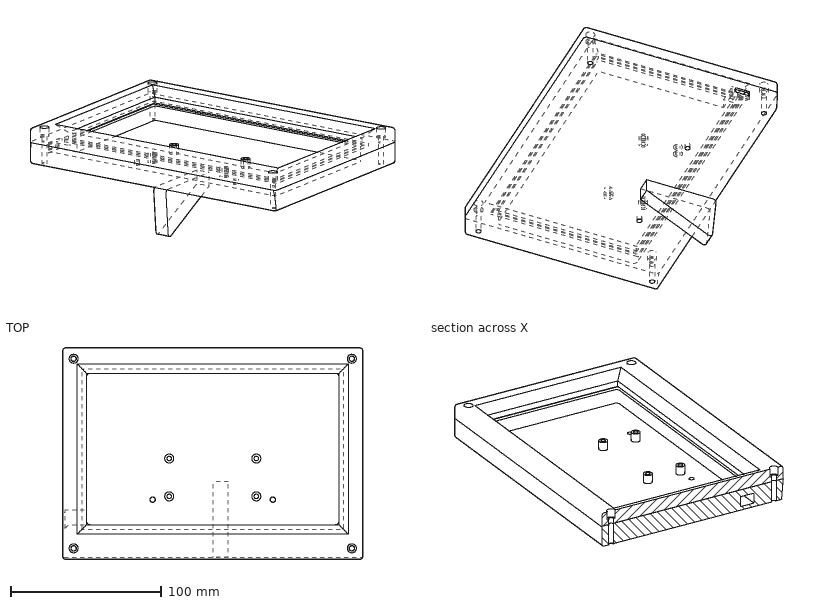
import cadquery as cq
import math

CASE_LENGTH = 200.2
CASE_WIDTH = 141.1
TRAY_HEIGHT = 15.0
BEZEL_HEIGHT = 10.0
CASE_HEIGHT = TRAY_HEIGHT + BEZEL_HEIGHT
EDGE_RADIUS = 2.5
FRONT_Y = -CASE_WIDTH / 2
LEFT_X = -CASE_LENGTH / 2

LEAN_ANGLE = 5.0
LEAN = math.tan(math.radians(LEAN_ANGLE))

WINDOW_LENGTH = 168.2
WINDOW_WIDTH = 101.0
WINDOW_Y = 3.0
WINDOW_FLARE = 6.2
WINDOW_LIP = 4.0

FLOOR_THICKNESS = 3.0
PANEL_SEAT_DEPTH = 2.0
PANEL_SEAT_MARGIN = 3.0

SCREW_INSET = 7.5
SCREW_HOLE_DIAMETER = 3.5
SCREW_HEAD_DIAMETER = 6.0
SCREW_HEAD_DEPTH = 6.0

POST_DIAMETER = 6.0
POST_HOLE_DIAMETER = 3.0
POST_HEIGHT = 6.0
POST_SPACING_X = 58.0
POST_SPACING_Y = 25.2
POST_CENTRE_Y = FRONT_Y + 54.7
FLOOR_HOLE_DIAMETER = 3.5
FLOOR_HOLE_SPACING = 80.0
FLOOR_HOLE_Y = FRONT_Y + 39.8

SLOT_LENGTH = 10.5
SLOT_HEIGHT = 3.8
SLOT_CORNER_RADIUS = 1.0
SLOT_WALL = 1.6
SLOT_FRONT_Y = FRONT_Y + 21.0
SLOT_BOTTOM_Z = FLOOR_THICKNESS + 1.6
POCKET_MARGIN = 1.6
POCKET_HEIGHT = SLOT_HEIGHT + 2 * POCKET_MARGIN
POCKET_FLARE_RADIUS = 4.8
POCKET_FLARE_WIDTH = 2.8

STAND_THICKNESS = 10.0
STAND_BACK_Y = FRONT_Y + 52.0
STAND_BACK_HEIGHT = 9.5
STAND_UNDERSIDE_SLOPE = 0.534


def front_y_at(z):
    """Y of the leaning front plane at height z."""
    return FRONT_Y + LEAN * (TRAY_HEIGHT - z)


def rounded_case():
    """Outer block of the closed case, every edge rounded."""
    block = cq.Workplane("XY").box(CASE_LENGTH, CASE_WIDTH, CASE_HEIGHT, centered=(True, True, False))
    return block.edges().fillet(EDGE_RADIUS)


def slab(bottom_z, height):
    """Oversized layer that picks out one height range of the case."""
    layer = cq.Workplane("XY").workplane(offset=bottom_z)
    return layer.rect(2 * CASE_LENGTH, 2 * CASE_WIDTH).extrude(height)


def screw_points():
    """Workplane at Z = 0 with a point at each corner screw."""
    return cq.Workplane("XY").rect(
        CASE_LENGTH - 2 * SCREW_INSET, CASE_WIDTH - 2 * SCREW_INSET, forConstruction=True
    ).vertices()


def screw_holes():
    return screw_points().circle(SCREW_HOLE_DIAMETER / 2).extrude(CASE_HEIGHT)


def make_bezel():
    """Upper frame with a window that has a straight lip below and a flare above."""
    bezel = rounded_case().intersect(slab(TRAY_HEIGHT, BEZEL_HEIGHT))
    lip = (
        cq.Workplane("XY", origin=(0, WINDOW_Y, TRAY_HEIGHT))
        .rect(WINDOW_LENGTH, WINDOW_WIDTH)
        .extrude(WINDOW_LIP)
    )
    flare = (
        cq.Workplane("XY", origin=(0, WINDOW_Y, TRAY_HEIGHT + WINDOW_LIP))
        .rect(WINDOW_LENGTH, WINDOW_WIDTH)
        .workplane(offset=BEZEL_HEIGHT - WINDOW_LIP)
        .rect(WINDOW_LENGTH + 2 * WINDOW_FLARE, WINDOW_WIDTH + 2 * WINDOW_FLARE)
        .loft(ruled=True)
    )
    heads = (
        screw_points()
        .circle(SCREW_HEAD_DIAMETER / 2)
        .extrude(SCREW_HEAD_DEPTH)
        .translate((0, 0, CASE_HEIGHT - SCREW_HEAD_DEPTH))
    )
    return bezel.cut(lip).cut(flare).cut(screw_holes()).cut(heads)


def lean_front(tray):
    """Cut the tray's front wall along the leaning plane."""
    wedge = (
        cq.Workplane("YZ", origin=(-CASE_LENGTH, 0, 0))
        .moveTo(FRONT_Y, TRAY_HEIGHT)
        .lineTo(front_y_at(0), 0)
        .lineTo(FRONT_Y, 0)
        .close()
        .extrude(2 * CASE_LENGTH)
    )
    return tray.cut(wedge)


def cavity():
    """Deep pocket with rounded corners and, at its rim, a shallow wider seat for the panel."""
    pocket = (
        cq.Workplane("XY", origin=(0, WINDOW_Y, FLOOR_THICKNESS))
        .rect(WINDOW_LENGTH, WINDOW_WIDTH)
        .extrude(TRAY_HEIGHT - FLOOR_THICKNESS)
        .edges("|Z")
        .fillet(EDGE_RADIUS)
    )
    seat = (
        cq.Workplane("XY", origin=(0, WINDOW_Y, TRAY_HEIGHT - PANEL_SEAT_DEPTH))
        .rect(WINDOW_LENGTH + 2 * PANEL_SEAT_MARGIN, WINDOW_WIDTH + 2 * PANEL_SEAT_MARGIN)
        .extrude(PANEL_SEAT_DEPTH)
    )
    return pocket.union(seat)


def cable_slot():
    """Rounded opening through the thin wall left outside the plug pocket."""
    return (
        cq.Workplane("XY", origin=(LEFT_X, SLOT_FRONT_Y, SLOT_BOTTOM_Z))
        .box(2 * SLOT_WALL, SLOT_LENGTH, SLOT_HEIGHT, centered=(True, False, False))
        .edges("|X")
        .fillet(SLOT_CORNER_RADIUS)
    )


def plug_pocket():
    """Pocket behind the slot, level with the cavity floor, its front side flaring toward the slot."""
    outer_x = LEFT_X + SLOT_WALL
    inner_x = -WINDOW_LENGTH / 2 + EDGE_RADIUS
    back_y = SLOT_FRONT_Y + SLOT_LENGTH + POCKET_MARGIN
    front_y = WINDOW_Y - WINDOW_WIDTH / 2
    flare_depth = math.sqrt(POCKET_FLARE_RADIUS**2 - (POCKET_FLARE_RADIUS - POCKET_FLARE_WIDTH) ** 2)
    return (
        cq.Workplane("XY", origin=(0, 0, FLOOR_THICKNESS))
        .moveTo(outer_x, back_y)
        .lineTo(inner_x, back_y)
        .lineTo(inner_x, front_y)
        .lineTo(outer_x + flare_depth, front_y)
        .radiusArc((outer_x, front_y - POCKET_FLARE_WIDTH), -POCKET_FLARE_RADIUS)
        .close()
        .extrude(POCKET_HEIGHT)
    )


def posts():
    """Four hollow board posts standing on the floor."""
    return (
        cq.Workplane("XY", origin=(0, POST_CENTRE_Y, FLOOR_THICKNESS))
        .rect(POST_SPACING_X, POST_SPACING_Y, forConstruction=True)
        .vertices()
        .circle(POST_DIAMETER / 2)
        .circle(POST_HOLE_DIAMETER / 2)
        .extrude(POST_HEIGHT)
    )


def floor_holes():
    half_spacing = FLOOR_HOLE_SPACING / 2
    return (
        cq.Workplane("XY", origin=(0, FLOOR_HOLE_Y, 0))
        .pushPoints([(-half_spacing, 0), (half_spacing, 0)])
        .circle(FLOOR_HOLE_DIAMETER / 2)
        .extrude(FLOOR_THICKNESS)
    )


def make_tray():
    """Lower half of the case."""
    tray = lean_front(rounded_case().intersect(slab(0, TRAY_HEIGHT)))
    tray = tray.cut(cavity()).cut(plug_pocket()).cut(cable_slot())
    return tray.union(posts()).cut(floor_holes()).cut(screw_holes())


def make_stand():
    """Wedge-shaped foot under the tray, rounded at its front top edge and at its tip."""
    drop_to_plane = STAND_UNDERSIDE_SLOPE * (STAND_BACK_Y - front_y_at(0))
    apex_z = -(STAND_BACK_HEIGHT + drop_to_plane) / (1 + STAND_UNDERSIDE_SLOPE * LEAN)
    return (
        cq.Workplane("YZ")
        .moveTo(front_y_at(0), 0)
        .lineTo(STAND_BACK_Y, 0)
        .lineTo(STAND_BACK_Y, -STAND_BACK_HEIGHT)
        .lineTo(front_y_at(apex_z), apex_z)
        .close()
        .extrude(STAND_THICKNESS)
        .edges("|X and <Y")
        .fillet(EDGE_RADIUS)
        .edges("|X and <Z")
        .fillet(EDGE_RADIUS)
    )


bezel = make_bezel()
tray = make_tray()
stand = make_stand()

result = cq.Compound.makeCompound([bezel.val(), tray.val(), stand.val()])